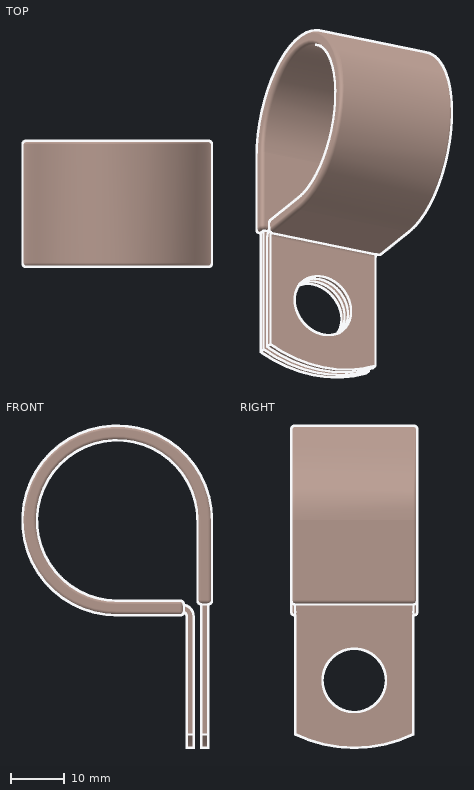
import cadquery as cq
import math

loop_radius = 35.8 / 2
total_height = 60.7
cushion_width = 23.8
cushion_thickness = 2.8
edge_radius = 0.7
right_end_z = -15.8
bottom_end_x = 12.6

side_cover = 0.8
bend_inner_radius = 1.0
tab_gap = 1.4
hole_diameter = 11.9
hole_z = -30.1
tip_rise = 2.55

loop_inner_radius = loop_radius - cushion_thickness
strap_width = cushion_width - 2 * side_cover
strap_thickness = cushion_thickness - 2 * edge_radius
strap_outer = loop_radius - edge_radius
strap_inner = strap_outer - strap_thickness
bent_tab_right = strap_inner - tab_gap
bent_tab_left = bent_tab_right - strap_thickness
bend_outer_radius = bend_inner_radius + strap_thickness
bend_x = bent_tab_left - bend_inner_radius
bend_z = -strap_outer - bend_inner_radius
tip_z = loop_radius - total_height
diagonal = math.sqrt(0.5)


def extrude_centered(profile, width):
    """Extrude an XZ profile equally to both sides of Y = 0."""
    return profile.extrude(width / 2, both=True)


def make_cushion():
    """Three-quarter loop with two straight legs and rounded edges."""
    profile = (
        cq.Workplane("XZ")
        .moveTo(loop_radius, right_end_z)
        .lineTo(loop_radius, 0)
        .threePointArc((-loop_radius * diagonal, loop_radius * diagonal), (0, -loop_radius))
        .lineTo(bottom_end_x, -loop_radius)
        .lineTo(bottom_end_x, -loop_inner_radius)
        .lineTo(0, -loop_inner_radius)
        .threePointArc(
            (-loop_inner_radius * diagonal, loop_inner_radius * diagonal),
            (loop_inner_radius, 0),
        )
        .lineTo(loop_inner_radius, right_end_z)
        .close()
    )
    body = extrude_centered(profile, cushion_width)
    rim_and_end_edges = body.faces("<Y or >Y").edges()
    for end_point in (
        (bottom_end_x, 0, -(loop_radius + loop_inner_radius) / 2),
        ((loop_radius + loop_inner_radius) / 2, 0, right_end_z),
    ):
        end_face = body.faces(cq.selectors.NearestToPointSelector(end_point))
        rim_and_end_edges = rim_and_end_edges.add(end_face.edges("|Y"))
    return rim_and_end_edges.fillet(edge_radius)


def make_strap():
    """Metal strip: straight tab, loop, and a tab bent down beside the first."""
    profile = (
        cq.Workplane("XZ")
        .moveTo(strap_outer, tip_z)
        .lineTo(strap_outer, 0)
        .threePointArc((-strap_outer * diagonal, strap_outer * diagonal), (0, -strap_outer))
        .lineTo(bend_x, -strap_outer)
        .threePointArc(
            (bend_x + bend_inner_radius * diagonal, bend_z + bend_inner_radius * diagonal),
            (bent_tab_left, bend_z),
        )
        .lineTo(bent_tab_left, tip_z)
        .lineTo(bent_tab_right, tip_z)
        .lineTo(bent_tab_right, bend_z)
        .threePointArc(
            (bend_x + bend_outer_radius * diagonal, bend_z + bend_outer_radius * diagonal),
            (bend_x, -strap_inner),
        )
        .lineTo(0, -strap_inner)
        .threePointArc((-strap_inner * diagonal, strap_inner * diagonal), (strap_inner, 0))
        .lineTo(strap_inner, tip_z)
        .close()
    )
    return extrude_centered(profile, strap_width)


def make_tip_limit():
    """Block with an arched bottom that shapes the tips of both tabs."""
    half_width = strap_width / 2
    return (
        cq.Workplane("YZ")
        .moveTo(-half_width, loop_radius)
        .lineTo(-half_width, tip_z + tip_rise)
        .threePointArc((0, tip_z), (half_width, tip_z + tip_rise))
        .lineTo(half_width, loop_radius)
        .close()
        .extrude(loop_radius, both=True)
    )


def make_bolt_hole():
    """Cylinder along X through both tabs."""
    return (
        cq.Workplane("YZ")
        .center(0, hole_z)
        .circle(hole_diameter / 2)
        .extrude(loop_radius)
    )


strap = make_strap().intersect(make_tip_limit()).cut(make_bolt_hole())
result = make_cushion().union(strap)